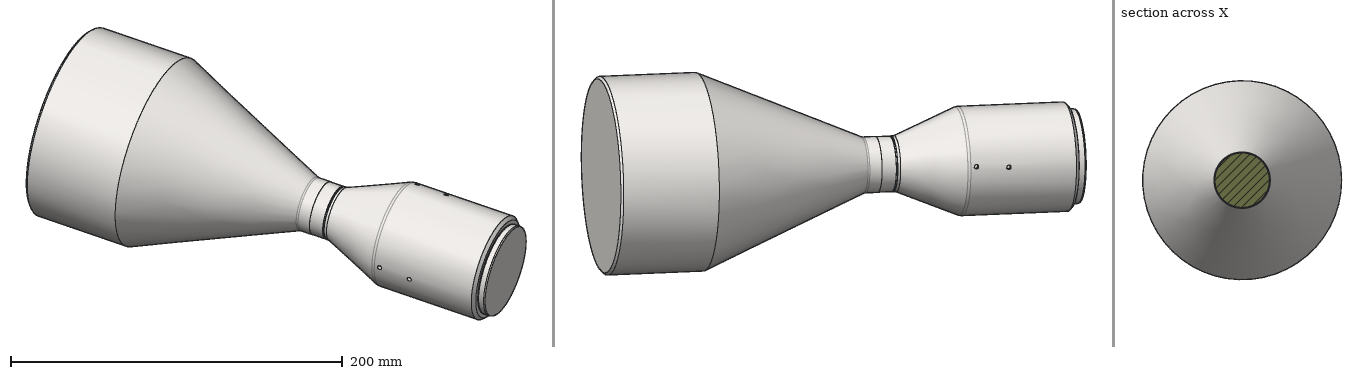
import cadquery as cq

total_length = 292.8
head_radius = 60.0
head_length = 60.3
head_chamfer = 1.5

neck_radius = 17.0
neck_start = 160.7
neck_edge_length = 1.2
neck_edge_drop = 0.15
neck_joint = 169.5
neck_step = 0.15
neck_groove_start = 178.3
neck_groove_width = 1.0
neck_groove_depth = 0.3
neck_end = 181.0

barrel_radius = 33.0
barrel_start = 219.0
barrel_edge_length = 1.8
barrel_edge_drop = 0.3
barrel_end = 287.8
barrel_chamfer = 2.0

mount_radius = 28.7
mount_edge_length = 1.0
mount_edge_drop = 0.3
mount_groove_width = 0.5
mount_groove_depth = 0.3

screw_hole_diameter = 2.5
screw_hole_depth = 3.0
holes_per_ring = 3
front_ring_x = 224.3
front_ring_angle = 55.0
rear_ring_x = 244.2
rear_ring_angle = 57.0


def turned_body():
    """Revolve the (x, radius) outline around the X axis."""
    thin_neck_radius = neck_radius - neck_step
    neck_groove_end = neck_groove_start + neck_groove_width
    neck_groove_radius = thin_neck_radius - neck_groove_depth
    mount_groove_end = barrel_end + mount_groove_width
    mount_groove_radius = mount_radius - mount_groove_depth

    head = [
        (0, 0),
        (0, head_radius - head_chamfer),
        (head_chamfer, head_radius),
        (head_length, head_radius),
    ]
    neck = [
        (neck_start, neck_radius + neck_edge_drop),
        (neck_start + neck_edge_length, neck_radius),
        (neck_joint, neck_radius),
        (neck_joint, thin_neck_radius),
        (neck_groove_start, thin_neck_radius),
        (neck_groove_start, neck_groove_radius),
        (neck_groove_end, neck_groove_radius),
        (neck_groove_end, neck_radius),
        (neck_end, neck_radius),
    ]
    barrel = [
        (barrel_start, barrel_radius - barrel_edge_drop),
        (barrel_start + barrel_edge_length, barrel_radius),
        (barrel_end - barrel_chamfer, barrel_radius),
        (barrel_end, barrel_radius - barrel_chamfer),
    ]
    mount = [
        (barrel_end, mount_groove_radius),
        (mount_groove_end, mount_groove_radius),
        (mount_groove_end, mount_radius),
        (total_length - mount_edge_length, mount_radius),
        (total_length, mount_radius - mount_edge_drop),
        (total_length, 0),
    ]
    outline = head + neck + barrel + mount
    return cq.Workplane("XY").polyline(outline).close().revolve(360, (0, 0, 0), (1, 0, 0))


def screw_hole(x, angle):
    """One blind hole pointing at the axis, turned from +Y by the angle."""
    floor_radius = barrel_radius - screw_hole_depth
    return (
        cq.Workplane("XZ", origin=(x, floor_radius, 0))
        .circle(screw_hole_diameter / 2)
        .extrude(-2 * screw_hole_depth)
        .rotate((0, 0, 0), (1, 0, 0), angle)
    )


result = turned_body()
for ring_x, ring_angle in [(front_ring_x, front_ring_angle), (rear_ring_x, rear_ring_angle)]:
    for index in range(holes_per_ring):
        hole_angle = ring_angle + index * 360 / holes_per_ring
        result = result.cut(screw_hole(ring_x, hole_angle))